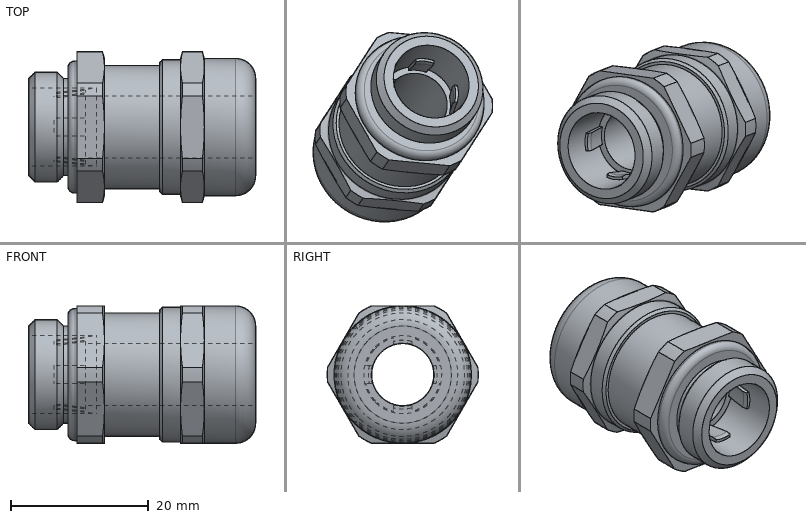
import cadquery as cq
import math

LENGTH = 33.0

THREAD_DIA = 16.0
NECK_DIA = 14.15
THREAD_CHAMFER = (THREAD_DIA - NECK_DIA) / 2
THREAD_END = 4.12

RING_START = 5.68
RING_DIA = 19.25
RING_ROUND = 1.02

HEX_FLATS = 20.0
HEX_CORNER_DIA = 21.98
HEX_FACE_DIA = 19.8
HEX_CHAMFER = 0.3
BODY_HEX_START = 7.0
BODY_HEX_END = 11.02
NUT_HEX_START = 22.05
NUT_HEX_END = 25.55

BODY_DIA = 18.0
NUT_START = 19.05
COLLAR_DIA = 19.6
COLLAR_CHAMFER = 0.4
DOME_DIA = HEX_FLATS
DOME_ROUND = 2.95

BORE_DIA = 11.35
THROUGH_DIA = 9.0
FINGER_COUNT = 4
FINGER_WIDTH = 2.65
FINGER_TIP = 3.65
SLOT_FLOOR = 8.28
CAGE_END = 9.85
TIP_OUTER_DIA = 10.03
TIP_INNER_DIA = 9.25
TIP_LEAD_IN = 0.8
ROOT_INNER_DIA = 10.0

X_AXIS = ((0, 0, 0), (1, 0, 0))


def cylinder(diameter, start, end):
    return cq.Workplane("YZ").workplane(offset=start).circle(diameter / 2).extrude(end - start)


def revolve_profile(points):
    """Turn a closed outline of (x, radius) points about the X axis."""
    return cq.Workplane("XY").polyline(points).close().revolve(360, *X_AXIS)


def hexagon(start, end, chamfer_start):
    """Hexagon with flats at +-Z, corners turned round, and chamfered end faces."""
    across_corners = HEX_FLATS / math.cos(math.pi / 6)
    prism = cq.Workplane("YZ").workplane(offset=start).polygon(6, across_corners).extrude(end - start)
    corner_radius = HEX_CORNER_DIA / 2
    face_radius = HEX_FACE_DIA / 2
    envelope = [(start, 0)]
    if chamfer_start:
        envelope += [(start, face_radius), (start + HEX_CHAMFER, corner_radius)]
    else:
        envelope += [(start, corner_radius)]
    envelope += [(end - HEX_CHAMFER, corner_radius), (end, face_radius), (end, 0)]
    return prism.intersect(revolve_profile(envelope))


def spigot():
    thread = THREAD_DIA / 2
    neck = NECK_DIA / 2
    return revolve_profile([
        (0, 0),
        (0, neck),
        (THREAD_CHAMFER, thread),
        (THREAD_END, thread),
        (THREAD_END + THREAD_CHAMFER, neck),
        (BODY_HEX_START, neck),
        (BODY_HEX_START, 0),
    ])


def sealing_ring():
    return cylinder(RING_DIA, RING_START, BODY_HEX_START).faces("<X").edges().fillet(RING_ROUND)


def cap_nut():
    collar = cylinder(COLLAR_DIA, NUT_START, NUT_HEX_START).faces("<X").edges().chamfer(COLLAR_CHAMFER)
    dome = cylinder(DOME_DIA, NUT_HEX_END, LENGTH).faces(">X").edges().fillet(DOME_ROUND)
    return collar.union(dome).union(hexagon(NUT_HEX_START, NUT_HEX_END, chamfer_start=True))


def bore():
    """Wide front bore as far as the cage floor, then a narrower bore right through."""
    return cylinder(BORE_DIA, 0, CAGE_END).union(cylinder(THROUGH_DIA, 0, LENGTH))


def clamping_cage():
    """Tapered sleeve at the end of the wide bore, slotted from its tip to leave separate fingers."""
    sleeve = revolve_profile([
        (FINGER_TIP, TIP_INNER_DIA / 2),
        (FINGER_TIP, TIP_OUTER_DIA / 2),
        (CAGE_END, BORE_DIA / 2),
        (CAGE_END, THROUGH_DIA / 2),
        (SLOT_FLOOR, THROUGH_DIA / 2),
        (SLOT_FLOOR, ROOT_INNER_DIA / 2),
        (FINGER_TIP + TIP_LEAD_IN, THROUGH_DIA / 2),
    ])
    slots = cylinder(BORE_DIA, FINGER_TIP, SLOT_FLOOR)
    for index in range(FINGER_COUNT):
        finger = cq.Workplane("XY").box(LENGTH, FINGER_WIDTH, BORE_DIA, centered=(False, True, False))
        slots = slots.cut(finger.rotate(*X_AXIS, index * 360 / FINGER_COUNT))
    return sleeve.cut(slots)


body = spigot().union(sealing_ring())
body = body.union(hexagon(BODY_HEX_START, BODY_HEX_END, chamfer_start=False))
body = body.union(cylinder(BODY_DIA, BODY_HEX_END, NUT_START))
result = body.union(cap_nut()).cut(bore()).union(clamping_cage())